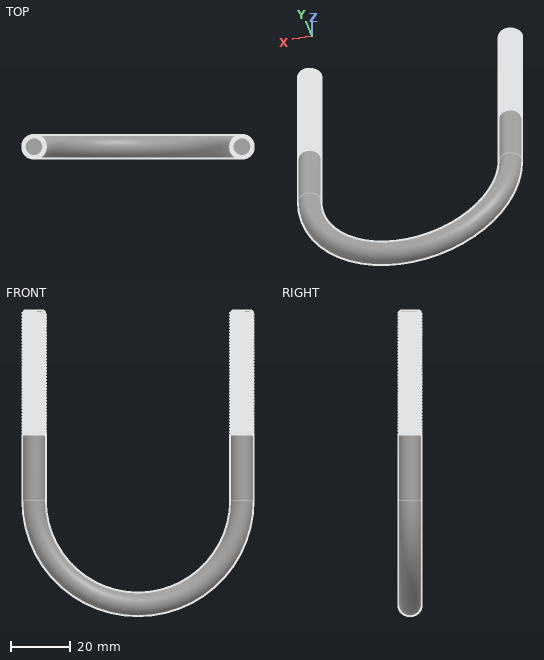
import cadquery as cq
import math

rod_diameter = 8.0
leg_spacing = 69.9
overall_height = 103.0
rod_radius = rod_diameter / 2
bend_radius = leg_spacing / 2
leg_top = overall_height - bend_radius - rod_radius
leg_positions = (-bend_radius, bend_radius)

pitch = 1.0
thread_turns = 42
crest_width = pitch / 8
root_width = pitch / 8
flank_width = (pitch - crest_width - root_width) / 2
flank_angle = math.radians(30)
root_radius = rod_radius - flank_width / math.tan(flank_angle)
thread_bottom = leg_top - thread_turns * pitch
flank_points = 8

tip_diameter = 6.2
tip_chamfer = rod_radius - tip_diameter / 2
cutter_margin = 0.2
level_tolerance = 1.03e-06


def turn_angle(axial_width):
    """Angle through which the helix turns while it advances by axial_width."""
    return 2 * math.pi * axial_width / pitch


def polar(radius, angle):
    return (radius * math.cos(angle), radius * math.sin(angle))


def spiral(start_radius, end_radius, first_angle):
    """Archimedean spiral points after the first; such a spiral is the cross-section of a straight flank."""
    points = []
    for i in range(1, flank_points + 1):
        part = i / flank_points
        radius = start_radius + (end_radius - start_radius) * part
        points.append(polar(radius, first_angle + turn_angle(flank_width) * part))
    return points


def thread_turn():
    """One turn of thread on the XY plane, its cross-section twisted once; the groove starts at +X."""
    half_root = turn_angle(root_width) / 2
    half_crest = turn_angle(crest_width) / 2
    section = (
        cq.Workplane("XY")
        .moveTo(*polar(root_radius, -half_root))
        .threePointArc(polar(root_radius, 0), polar(root_radius, half_root))
        .spline(spiral(root_radius, rod_radius, half_root), includeCurrent=True)
        .threePointArc(polar(rod_radius, math.pi), polar(rod_radius, math.pi + half_crest))
        .spline(spiral(rod_radius, root_radius, math.pi + half_crest), includeCurrent=True)
        .close()
    )
    return section.twistExtrude(pitch, 360)


def bent_rod():
    """U-shaped plain rod that ends where the threads begin."""
    path = (
        cq.Workplane("XZ")
        .moveTo(-bend_radius, thread_bottom)
        .lineTo(-bend_radius, 0)
        .threePointArc((0, -bend_radius), (bend_radius, 0))
        .lineTo(bend_radius, thread_bottom)
    )
    return cq.Workplane("XY", origin=(-bend_radius, 0, thread_bottom)).circle(rod_radius).sweep(path)


def chamfer_cutter():
    """Triangular ring that bevels a turn of thread standing on the XY plane."""
    inner = tip_diameter / 2 - cutter_margin
    outer = rod_radius + cutter_margin
    profile = [
        (inner, pitch + cutter_margin),
        (outer, pitch - tip_chamfer - cutter_margin),
        (outer, pitch + cutter_margin),
    ]
    return cq.Workplane("XZ").polyline(profile).close().revolve(360, (0, 0, 0), (0, 1, 0))


def faces_except(body, heights):
    """Faces of a body without its flat faces at the given heights."""
    kept = []
    for face in body.faces().vals():
        level = face.Center().z
        flat = face.geomType() == "PLANE"
        if not (flat and any(abs(level - height) < level_tolerance for height in heights)):
            kept.append(face)
    return kept


turn = thread_turn()
tip = turn.cut(chamfer_cutter(), clean=False)
base = bent_rod()
for leg_x in leg_positions:
    base = base.union(turn.translate((leg_x, 0, thread_bottom)), clean=False)

skin = faces_except(base, [thread_bottom + pitch])
turn_sides = faces_except(turn, [0, pitch])
tip_faces = faces_except(tip, [0])
for leg_x in leg_positions:
    for i in range(1, thread_turns):
        is_tip = i == thread_turns - 1
        turn_faces = tip_faces if is_tip else turn_sides
        offset = cq.Vector(leg_x, 0, thread_bottom + i * pitch)
        skin += [face.translate(offset) for face in turn_faces]

result = cq.Workplane(cq.Solid.makeSolid(cq.Shell.makeShell(skin)))